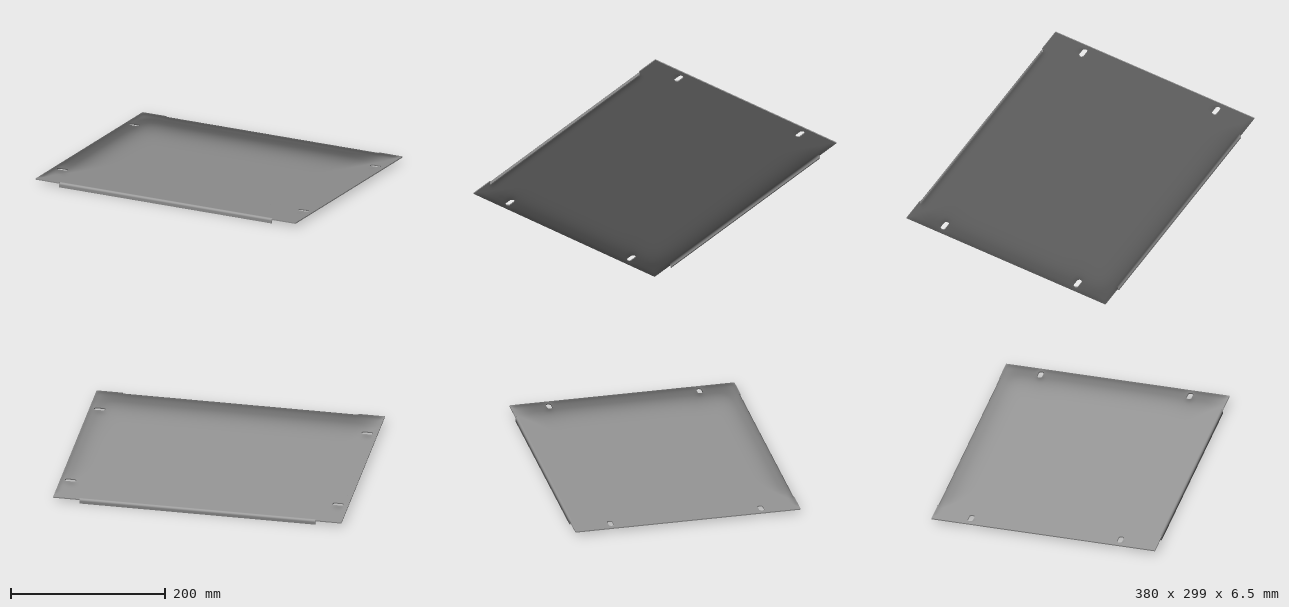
import cadquery as cq

panel_length = 380.0
panel_width = 299.0
sheet = 1.5

flange_drop = 6.5
flange_length = 311.0
bend_inner_radius = 1.5
bend_outer_radius = bend_inner_radius + sheet

slot_length = 15.0
slot_width = 7.0
slot_spacing_x = 352.5
slot_spacing_y = 200.0


def make_channel():
    """Panel strip with a flange bent down along each long edge, top face at Z = 0."""
    outer = (
        cq.Workplane("XY")
        .box(flange_length, panel_width, flange_drop, centered=(True, True, False))
        .translate((0, 0, -flange_drop))
        .edges("|X and >Z")
        .fillet(bend_outer_radius)
    )
    inner_width = panel_width - 2 * sheet
    inner = (
        cq.Workplane("XY")
        .box(flange_length, inner_width, flange_drop, centered=(True, True, False))
        .translate((0, 0, -flange_drop - sheet))
        .edges("|X and >Z")
        .fillet(bend_inner_radius)
    )
    return outer.cut(inner)


def make_end_tab(side):
    """Flat end of the panel beyond the flanges; side is -1 or 1 along X."""
    tab_length = (panel_length - flange_length) / 2
    tab_center = side * (panel_length - tab_length) / 2
    return cq.Workplane("XY").center(tab_center, 0).rect(tab_length, panel_width).extrude(-sheet)


result = make_channel()
for side in (-1, 1):
    result = result.union(make_end_tab(side))

slots = (
    cq.Workplane("XY")
    .rarray(slot_spacing_x, slot_spacing_y, 2, 2)
    .slot2D(slot_length, slot_width)
    .extrude(-sheet)
)
result = result.cut(slots).clean()